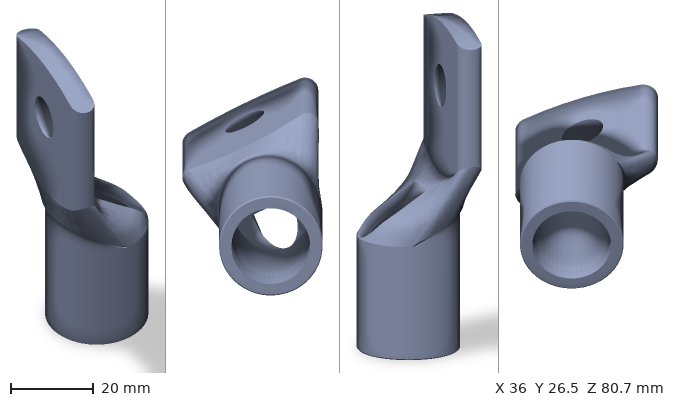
import cadquery as cq
import math


tube_radius = 25.0 / 2
bore_radius = 19.0 / 2
mouth_chamfer = 0.3

total_length = 80.72
palm_half_width = 36.0 / 2
palm_thickness = 6.0
palm_front_y = -14.0
palm_mid_y = palm_front_y + palm_thickness / 2
palm_back_y = palm_front_y + palm_thickness
palm_flat_half_width = palm_half_width - palm_thickness / 2
palm_end_radius = 57.0
palm_foot_z = 42.8
palm_foot_radius = 30.4
bolt_hole_diameter = 10.5
bolt_hole_z = 64.7

shoulder_z = 28.2
knee_y = 1.7
front_rise = 0.47
tube_top_rise = 0.53
lip = 0.7
lip_bevel_height = 1.0
front_seam_y = -6.3

swells = ((0.16, 2.0, 0.2), (0.35, 1.6, 0.35), (0.7, 0.9, 0.4))
curve_steps = 12

trim_margin = 1.0

window_half_width = 5.0
window_base_z = 28.3
roof_slope = 0.64
ledge_inner_y = 0.0
ledge_outer_y = -3.0
ledge_outer_z = 40.0


def rim_z(y):
    """Height of the lower edge of the transition."""
    return shoulder_z + front_rise * max(0.0, knee_y - y)


def tube_top_z(y):
    """Height of the tube end, which reaches a little way into the transition."""
    return shoulder_z + tube_top_rise * max(0.0, knee_y - y)


def foot_z(x):
    """Height of the curved foot of the palm."""
    drop = math.sqrt(palm_foot_radius**2 - x**2)
    return palm_foot_z + palm_foot_radius - drop


def rim_point(side, y):
    """Point on the rim; the front half is a slight ellipse that overhangs the tube."""
    depth = tube_radius if y > 0 else tube_radius + lip
    x = side * tube_radius * math.sqrt(1 - (y / depth) ** 2)
    return cq.Vector(x, y, rim_z(y))


def end_z(x):
    """Height of the convex end of the palm."""
    return total_length - palm_end_radius + math.sqrt(palm_end_radius**2 - x**2)


def roof_z(y):
    """Height of the sloping roof of the bore."""
    return window_base_z + roof_slope * (bore_radius - y)


def make_tube():
    """A round bar, chamfered at the mouth and cut off level behind and sloping in front."""
    tube = cq.Workplane("XY").circle(tube_radius).extrude(tube_top_z(-tube_radius))
    tube = tube.faces("<Z").chamfer(mouth_chamfer)
    front_y = -2 * tube_radius
    above_top = (
        cq.Workplane("YZ")
        .moveTo(tube_radius + trim_margin, shoulder_z)
        .lineTo(knee_y, shoulder_z)
        .lineTo(front_y, tube_top_z(front_y))
        .lineTo(front_y, total_length)
        .lineTo(tube_radius + trim_margin, total_length)
        .close()
        .extrude(tube_radius + trim_margin, both=True)
    )
    return tube.cut(above_top)


def make_palm():
    """A bar with rounded edges, trimmed by a convex end and a curved foot."""
    trim_half_width = palm_half_width + trim_margin
    foot_side_z = foot_z(trim_half_width)
    top_side_z = end_z(trim_half_width)
    outline = (
        cq.Workplane("XZ", origin=(0, palm_back_y, 0))
        .moveTo(-trim_half_width, foot_side_z)
        .threePointArc((0, palm_foot_z), (trim_half_width, foot_side_z))
        .lineTo(trim_half_width, top_side_z)
        .threePointArc((0, total_length), (-trim_half_width, top_side_z))
        .close()
        .extrude(palm_thickness)
    )
    slab = (
        cq.Workplane("XY")
        .moveTo(-palm_flat_half_width, palm_front_y)
        .lineTo(palm_flat_half_width, palm_front_y)
        .threePointArc((palm_half_width, palm_mid_y), (palm_flat_half_width, palm_back_y))
        .lineTo(-palm_flat_half_width, palm_back_y)
        .threePointArc((-palm_half_width, palm_mid_y), (-palm_flat_half_width, palm_front_y))
        .close()
        .extrude(total_length)
    )
    return outline.intersect(slab)


def rim_edges():
    """The rim as front, right, back and left edges, in order around the tube."""
    side_ys = (front_seam_y, front_seam_y / 2, 0, knee_y)
    front_depth = tube_radius + lip
    front_x = rim_point(1, front_seam_y).x
    seam_angle = math.atan2(-front_seam_y / front_depth, front_x / tube_radius)
    front_points = []
    for step in range(curve_steps + 1):
        angle = math.pi - seam_angle - (math.pi - 2 * seam_angle) * step / curve_steps
        y = -front_depth * math.sin(angle)
        front_points.append(cq.Vector(tube_radius * math.cos(angle), y, rim_z(y)))
    back_top = cq.Vector(0, tube_radius, shoulder_z)
    return [
        cq.Edge.makeSpline(front_points),
        cq.Edge.makeSpline([rim_point(1, y) for y in side_ys]),
        cq.Edge.makeThreePointArc(rim_point(1, knee_y), back_top, rim_point(-1, knee_y)),
        cq.Edge.makeSpline([rim_point(-1, y) for y in reversed(side_ys)]),
    ]


def foot_edges(foot):
    """The edges of the palm foot, in the same order as the rim edges."""
    selectors = ("<Y", ">X", ">Y", "<X")
    return [cq.Workplane(foot).edges(selector).val() for selector in selectors]


def points_along(edge, start):
    """Evenly spaced points on an edge, beginning at the end nearest to start."""
    points = edge.positions([step / curve_steps for step in range(curve_steps + 1)])
    if (points[0] - start).Length > (points[-1] - start).Length:
        points.reverse()
    return points


def blend_ring(rims, feet, share, back_swell, side_swell):
    """A ring part of the way from rim to foot, bulging on the back and sides."""
    edges = []
    start = cq.Vector(-palm_flat_half_width, palm_front_y, foot_z(palm_flat_half_width))
    for rim, foot in zip(rims, feet):
        low_points = points_along(rim, rim.startPoint())
        high_points = points_along(foot, start)
        start = high_points[-1]
        ring_points = []
        for low, high in zip(low_points, high_points):
            rise = back_swell * max(0.0, low.y / tube_radius)
            spread = side_swell * low.x / tube_radius
            ring_points.append(low * (1 - share) + high * share + cq.Vector(spread, 0, rise))
        edges.append(cq.Edge.makeSpline(ring_points))
    return cq.Wire.assembleEdges(edges)


def make_transition(palm):
    """A skin from the rim to the palm foot, closed below by a shoulder and a slope."""
    foot = palm.faces("<Z").val()
    rims = rim_edges()
    feet = foot_edges(foot)
    front, right, back, left = rims
    rings = [cq.Wire.assembleEdges(rims)]
    for share, back_swell, side_swell in swells:
        rings.append(blend_ring(rims, feet, share, back_swell, side_swell))
    rings.append(foot.outerWire())
    skin = cq.occ_impl.shapes.loft(rings)
    knee = cq.Edge.makeLine(back.endPoint(), back.startPoint())
    shoulder = cq.Face.makeFromWires(cq.Wire.assembleEdges([back, knee]))
    slope = cq.Face.makeFromWires(cq.Wire.assembleEdges([front, right, knee, left]))
    shell = cq.Shell.makeShell([*skin.Faces(), shoulder, slope, foot])
    solid = cq.Solid.makeSolid(shell).fix()
    lip_middle = front.positionAt(0.5).toTuple()
    lip_edge = cq.Workplane(solid).edges(cq.selectors.NearestToPointSelector(lip_middle))
    return cq.Workplane(solid.chamfer(lip, lip_bevel_height, lip_edge.vals()))


def make_cavity():
    """The bore, closed by a roof that runs parallel to the back of the transition."""
    bore = cq.Workplane("XY").circle(bore_radius).extrude(total_length)
    above_roof = (
        cq.Workplane("YZ")
        .moveTo(bore_radius, roof_z(bore_radius))
        .lineTo(-bore_radius, roof_z(-bore_radius))
        .lineTo(-bore_radius, total_length)
        .lineTo(bore_radius, total_length)
        .close()
        .extrude(bore_radius, both=True)
    )
    return bore.cut(above_roof)


def make_window():
    """A round-bottomed opening through the back, ending in a sloping ledge."""
    opening = (
        cq.Workplane("XZ")
        .moveTo(-window_half_width, total_length)
        .lineTo(-window_half_width, window_base_z + window_half_width)
        .threePointArc((0, window_base_z), (window_half_width, window_base_z + window_half_width))
        .lineTo(window_half_width, total_length)
        .close()
        .extrude(tube_radius, both=True)
    )
    reach = (
        cq.Workplane("YZ")
        .moveTo(ledge_inner_y, shoulder_z)
        .lineTo(ledge_inner_y, roof_z(ledge_inner_y))
        .lineTo(ledge_outer_y, ledge_outer_z)
        .lineTo(ledge_outer_y, ledge_outer_z + window_half_width)
        .lineTo(tube_radius, ledge_outer_z + window_half_width)
        .lineTo(tube_radius, shoulder_z)
        .close()
        .extrude(window_half_width, both=True)
    )
    return opening.intersect(reach)


palm = make_palm()
bolt_hole = (
    cq.Workplane("XZ", origin=(0, palm_back_y, bolt_hole_z))
    .circle(bolt_hole_diameter / 2)
    .extrude(palm_thickness)
)
body = make_tube().union(make_transition(palm)).union(palm)
result = body.cut(make_cavity()).cut(make_window()).cut(bolt_hole).solids()